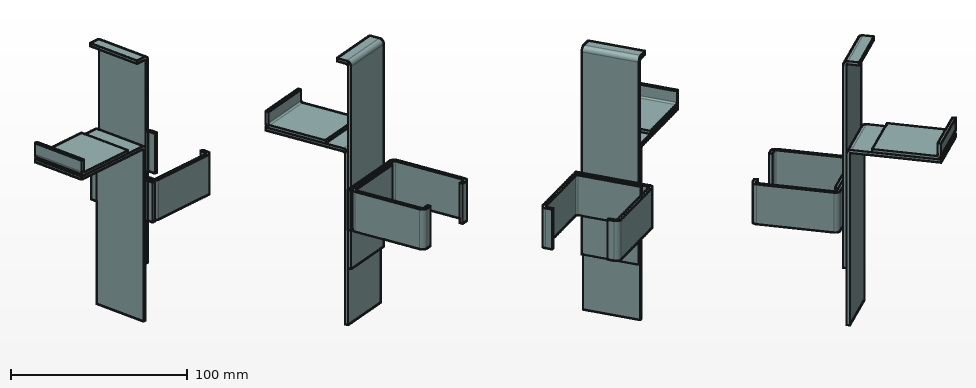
import cadquery as cq
import math

SHEET = 2.0
INNER_BEND = 1.0
OUTER_BEND = INNER_BEND + SHEET

STRIP_WIDTH = 35.0
TOTAL_HEIGHT = 165.5
UPRIGHT_BOTTOM = 35.5
UPRIGHT_LIP = 9.5
ARM_TOP = 110.0
ARM_REACH = 55.1
TRAY_LENGTH = 40.0
TRAY_TOP = 120.0

CLIP_WIDTH = 48.0
CLIP_DEPTH = 51.0
CLIP_HEIGHT = 25.0
CLIP_BOTTOM = 61.7
CLIP_LIP = 7.0
CLIP_OVERHANG = 9.5
INNER_CLIP_BASE = 41.4

ARM_BACK = -SHEET
ARM_FRONT = ARM_BACK - ARM_REACH
CLIP_LEFT = -STRIP_WIDTH / 2 - CLIP_OVERHANG
CLIP_RIGHT = CLIP_LEFT + CLIP_WIDTH


def bent_strip(plane, outer_path, turn, width):
    """Extrude a strip that follows its outer face, with rounded right-angle bends.

    turn is 1 when the path turns counter-clockwise (metal on its left), else -1.
    """
    points = [cq.Vector(u, v) for u, v in outer_path]
    directions = [(end - start).normalized() for start, end in zip(points, points[1:])]
    to_metal = [cq.Vector(-d.y, d.x) * turn for d in directions]
    half_diagonal = math.sqrt(0.5)

    def bend_points(index, radius):
        corner = points[index + 1]
        before = to_metal[index]
        after = to_metal[index + 1]
        center = corner + (before + after) * OUTER_BEND
        middle = center - (before + after) * (radius * half_diagonal)
        return center - before * radius, middle, center - after * radius

    bends = range(len(directions) - 1)
    profile = cq.Workplane(plane).moveTo(points[0].x, points[0].y)
    for index in bends:
        start, middle, end = bend_points(index, OUTER_BEND)
        profile = profile.lineTo(start.x, start.y).threePointArc((middle.x, middle.y), (end.x, end.y))
    profile = profile.lineTo(points[-1].x, points[-1].y)

    inner_end = points[-1] + to_metal[-1] * SHEET
    profile = profile.lineTo(inner_end.x, inner_end.y)
    for index in reversed(bends):
        end, middle, start = bend_points(index, INNER_BEND)
        profile = profile.lineTo(start.x, start.y).threePointArc((middle.x, middle.y), (end.x, end.y))
    inner_start = points[0] + to_metal[0] * SHEET
    return profile.lineTo(inner_start.x, inner_start.y).close().extrude(width)


def wide_strip(outer_path, turn):
    """Strip bent in the YZ plane and centred on X = 0."""
    return bent_strip("YZ", outer_path, turn, STRIP_WIDTH).translate((-STRIP_WIDTH / 2, 0, 0))


def clip_strip(outer_path, turn):
    """Strip bent in the XY plane at the height of the clips."""
    return bent_strip("XY", outer_path, turn, CLIP_HEIGHT).translate((0, 0, CLIP_BOTTOM))


upright = wide_strip([(0, UPRIGHT_BOTTOM), (0, TOTAL_HEIGHT), (-UPRIGHT_LIP, TOTAL_HEIGHT)], 1)

arm = wide_strip([(ARM_BACK, 0), (ARM_BACK, ARM_TOP), (ARM_FRONT, ARM_TOP)], 1)

tray = wide_strip([(ARM_FRONT + TRAY_LENGTH, ARM_TOP), (ARM_FRONT, ARM_TOP), (ARM_FRONT, TRAY_TOP)], -1)

outer_clip = clip_strip(
    [
        (CLIP_RIGHT, 0),
        (CLIP_LEFT, 0),
        (CLIP_LEFT, CLIP_DEPTH),
        (CLIP_LEFT + CLIP_LIP, CLIP_DEPTH),
    ],
    -1,
)

inner_clip = clip_strip(
    [
        (CLIP_RIGHT - INNER_CLIP_BASE, SHEET),
        (CLIP_RIGHT, SHEET),
        (CLIP_RIGHT, CLIP_DEPTH),
        (CLIP_RIGHT - CLIP_LIP, CLIP_DEPTH),
    ],
    1,
)

result = cq.Compound.makeCompound(
    [upright.val(), arm.val(), tray.val(), outer_clip.val(), inner_clip.val()]
)